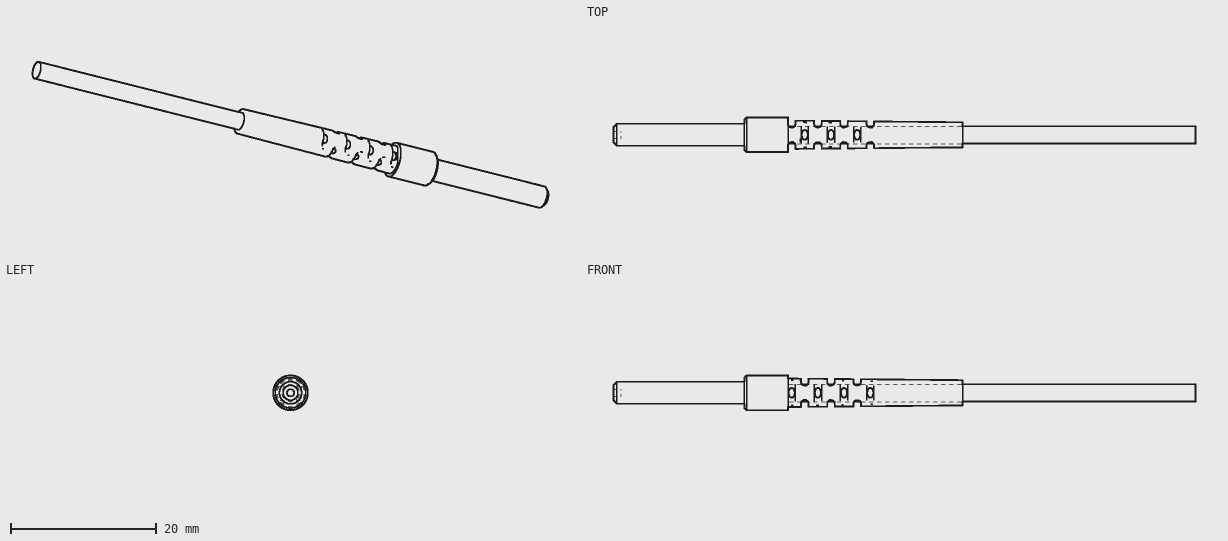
import cadquery as cq

total_length = 80.0

pin_diameter = 3.05
tip_chamfer = 0.5
tip_hole_diameter = 1.0
tip_hole_depth = 1.0
collar_diameter = 4.8
collar_start = 18.0
collar_end = 24.0
collar_chamfer = 0.3

boot_end = 48.0
boot_start_diameter = 3.95
boot_end_diameter = 3.5
boot_edge_fillet = 0.1

slot_width = 1.0
slot_pitch = 3.6
side_slots = 4
upright_slots = side_slots - 1
first_side_slot = collar_end + slot_width / 2
first_upright_slot = first_side_slot + slot_pitch / 2
slot_floor = 1.0

cable_diameter = 2.4


def cylinder(start, end, diameter):
    return cq.Workplane("YZ", origin=(start, 0, 0)).circle(diameter / 2).extrude(end - start)


def make_plug():
    pin = cylinder(0, collar_start, pin_diameter).faces("<X").chamfer(tip_chamfer)
    collar = cylinder(collar_start, collar_end, collar_diameter).faces("<X").chamfer(collar_chamfer)
    return pin.union(collar).cut(cylinder(0, tip_hole_depth, tip_hole_diameter))


def slot_pair(x_centre, turn):
    """Two facing slots, open to +Z and -Z before they are turned about the X axis."""
    reach = boot_start_diameter
    round_centre = slot_floor + slot_width / 2
    slots = (
        cq.Workplane("XZ")
        .pushPoints([(x_centre, round_centre), (x_centre, -round_centre)])
        .circle(slot_width / 2)
        .extrude(reach / 2, both=True)
    )
    for side in (1, -1):
        opening_centre = side * (round_centre + reach / 2)
        opening = cq.Workplane("XY", origin=(x_centre, 0, opening_centre)).box(slot_width, reach, reach)
        slots = slots.union(opening)
    return slots.rotate((0, 0, 0), (1, 0, 0), turn)


def make_boot():
    boot = (
        cq.Workplane("XZ")
        .moveTo(collar_end, 0)
        .lineTo(collar_end, boot_start_diameter / 2)
        .lineTo(boot_end, boot_end_diameter / 2)
        .lineTo(boot_end, 0)
        .close()
        .revolve(360, (0, 0, 0), (1, 0, 0))
    )
    for i in range(side_slots):
        boot = boot.cut(slot_pair(first_side_slot + i * slot_pitch, 90))
    for i in range(upright_slots):
        boot = boot.cut(slot_pair(first_upright_slot + i * slot_pitch, 0))
    boot = boot.faces("%CONE").edges("(not %LINE) and (not <X)").fillet(boot_edge_fillet)
    return boot.cut(cylinder(collar_end, boot_end, cable_diameter))


plug = make_plug()
boot = make_boot()
cable = cylinder(collar_end, total_length, cable_diameter)

result = cq.Compound.makeCompound([plug.val(), boot.val(), cable.val()])